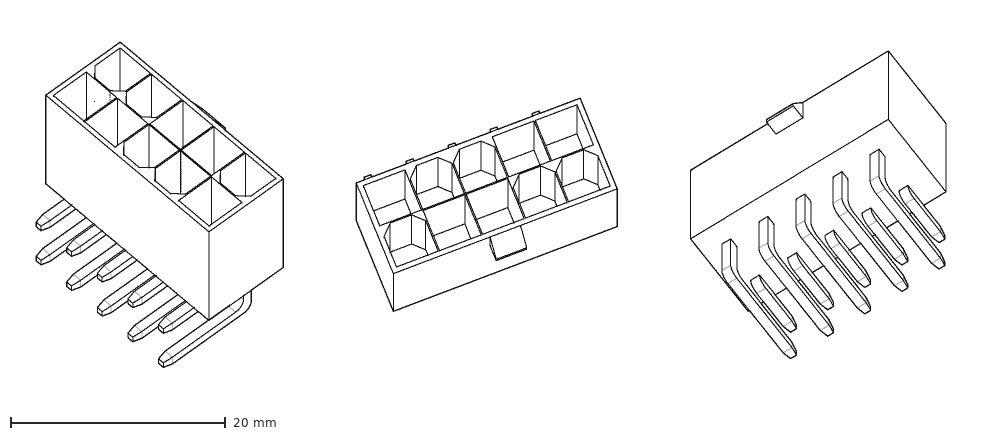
import cadquery as cq

body_width = 22.4
body_depth = 9.43
body_height = 13.0
back_y = body_depth / 2
front_y = -body_depth / 2

columns = 5
rows = 2
cavity_size = 4.17
column_wall = 0.13
row_wall = 0.11
cavity_depth = 10.0
cavity_corner_cut = 1.0
column_pitch = cavity_size + column_wall
row_pitch = cavity_size + row_wall
keyed_cavities = {(0, 1), (1, 1), (4, 1), (2, 0), (3, 0)}

latch_width = 3.05
latch_reach = 1.57
latch_height = 2.93
latch_lip = 0.45

pin_size = 1.0
pin_row_span = 16.8
pin_pitch = pin_row_span / (columns - 1)
pin_shift = 0.22
pin_overhang = 3.7
pin_bend_radius = 1.0
pin_embed = 1.0
tip_length = 0.99
tip_size = 0.67
back_leg_inset = 2.13
front_leg_inset = 6.83
back_pin_drop = 6.0
front_pin_drop = pin_size
pin_end_y = front_y - pin_overhang


def make_cavity(column, row):
    """Square cavity; a keyed one has its two front corners cut off."""
    x = (column - (columns - 1) / 2) * column_pitch
    y = (row - (rows - 1) / 2) * row_pitch
    cavity = cq.Workplane("XY").box(cavity_size, cavity_size, cavity_depth, centered=(True, True, False))
    if (column, row) in keyed_cavities:
        cavity = cavity.faces("<Y").edges("|Z").chamfer(cavity_corner_cut)
    return cavity.translate((x, y, body_height - cavity_depth))


def make_latch():
    """Ramp that widens downwards from the top edge and ends in a flat ledge."""
    ledge_z = body_height - latch_height
    return (
        cq.Workplane("YZ")
        .moveTo(back_y, body_height)
        .lineTo(back_y + latch_reach, ledge_z + latch_lip)
        .lineTo(back_y + latch_reach, ledge_z)
        .lineTo(back_y, ledge_z)
        .close()
        .extrude(latch_width / 2, both=True)
    )


def make_pin(leg_inset, drop):
    """L-shaped pin at X = 0: a leg down from the housing, a bend and a tapered end towards -Y."""
    rear_y = back_y - leg_inset
    bottom_z = -drop
    top_z = bottom_z + pin_size
    shank_end_y = pin_end_y + tip_length
    shank = (
        cq.Workplane("YZ")
        .moveTo(rear_y, pin_embed)
        .lineTo(rear_y, bottom_z)
        .lineTo(shank_end_y, bottom_z)
        .lineTo(shank_end_y, top_z)
        .lineTo(rear_y - pin_size, top_z)
        .lineTo(rear_y - pin_size, pin_embed)
        .close()
        .extrude(pin_size / 2, both=True)
    )
    outer_corner = cq.selectors.NearestToPointSelector((0, rear_y, bottom_z))
    shank = shank.edges("|X").edges(outer_corner).fillet(pin_bend_radius)
    if top_z < 0:
        inner_corner = cq.selectors.NearestToPointSelector((0, rear_y - pin_size, top_z))
        shank = shank.edges("|X").edges(inner_corner).fillet(pin_bend_radius)
    tip = (
        cq.Workplane("XZ", origin=(0, shank_end_y, (bottom_z + top_z) / 2))
        .rect(pin_size, pin_size)
        .workplane(offset=tip_length)
        .rect(tip_size, tip_size)
        .loft(ruled=True)
    )
    return shank.union(tip)


housing = cq.Workplane("XY").box(body_width, body_depth, body_height, centered=(True, True, False))
for column in range(columns):
    for row in range(rows):
        housing = housing.cut(make_cavity(column, row))

result = housing.union(make_latch())
for leg_inset, drop in ((back_leg_inset, back_pin_drop), (front_leg_inset, front_pin_drop)):
    pin = make_pin(leg_inset, drop)
    for column in range(columns):
        pin_x = pin_shift + (column - (columns - 1) / 2) * pin_pitch
        result = result.union(pin.translate((pin_x, 0, 0)))